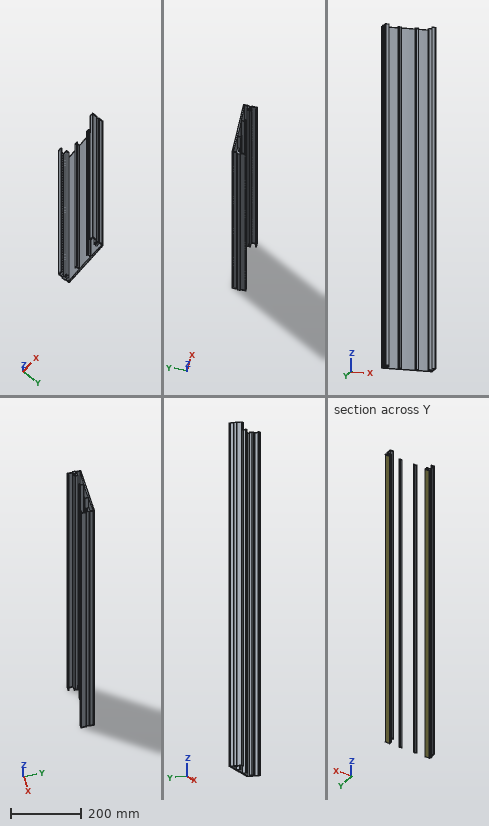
import cadquery as cq

LENGTH = 1000.0
BODY_WIDTH = 150.0
DEPTH = 40.02
TONGUE_REACH = 2.0
HALF_WIDTH = BODY_WIDTH / 2
MIDDLE_X = TONGUE_REACH / 2
OUTER_FACE_Y = DEPTH / 2

WEB_THICKNESS = 4.5
WEB_EDGE_THICKNESS = 3.5
TAPER_START = 50.0
CROWN_HALF_WIDTH = 18.0
CROWN_HEIGHT = 0.9
OUTER_CORNER_RADIUS = 2.0

WALL_THICKNESS = 2.5
LIP_THICKNESS = 3.0
LIP_LENGTH = 11.0

JOINT_DEPTH = 20.0
TONGUE_HEIGHT = 8.2
GROOVE_HEIGHT = 8.4
GROOVE_CUT = 2.0

CHANNEL_TIP = 59.7
CHANNEL_TOP = 12.7
CHANNEL_BOTTOM = 22.9
CHANNEL_FILLET = 0.4
SLOT_BASE = 69.3
SLOT_TOP = 17.2
SLOT_BOTTOM = 20.5

RIB_STEM_INNER = 24.1
RIB_STEM_OUTER = 25.6
RIB_FOOT_INNER = 19.5
RIB_FOOT_OUTER = 30.2
RIB_FOOT_TOP = 15.0
RIB_FOOT_THICKNESS = 1.8


def place(across, depth):
    """XY point of a section position."""
    return (MIDDLE_X + across, OUTER_FACE_Y - depth)


def bar(across_a, across_b, depth_a, depth_b):
    """Full-length rectangular bar between two across and two depth positions."""
    corners = [
        place(across_a, depth_a),
        place(across_b, depth_a),
        place(across_b, depth_b),
        place(across_a, depth_b),
    ]
    return cq.Workplane("XY").polyline(corners).close().extrude(LENGTH)


def web():
    inner_wall = HALF_WIDTH - WALL_THICKNESS
    return (
        cq.Workplane("XY")
        .moveTo(*place(-HALF_WIDTH, 0))
        .lineTo(*place(HALF_WIDTH, 0))
        .lineTo(*place(HALF_WIDTH, WEB_EDGE_THICKNESS))
        .lineTo(*place(inner_wall, WEB_EDGE_THICKNESS))
        .lineTo(*place(TAPER_START, WEB_THICKNESS))
        .lineTo(*place(CROWN_HALF_WIDTH, WEB_THICKNESS))
        .threePointArc(
            place(0, WEB_THICKNESS + CROWN_HEIGHT),
            place(-CROWN_HALF_WIDTH, WEB_THICKNESS),
        )
        .lineTo(*place(-TAPER_START, WEB_THICKNESS))
        .lineTo(*place(-inner_wall, WEB_EDGE_THICKNESS))
        .lineTo(*place(-HALF_WIDTH, WEB_EDGE_THICKNESS))
        .close()
        .extrude(LENGTH)
    )


def side_wall(side):
    outer = side * HALF_WIDTH
    wall = bar(outer, side * (HALF_WIDTH - WALL_THICKNESS), 0, DEPTH)
    lip = bar(outer, side * (HALF_WIDTH - LIP_LENGTH), DEPTH - LIP_THICKNESS, DEPTH)
    return wall.union(lip)


def screw_channel(side):
    block = bar(side * HALF_WIDTH, side * CHANNEL_TIP, CHANNEL_TOP, CHANNEL_BOTTOM)
    slot = bar(side * SLOT_BASE, side * CHANNEL_TIP, SLOT_TOP, SLOT_BOTTOM)
    tip_edges = "|Z and >X" if side < 0 else "|Z and <X"
    return block.cut(slot).edges(tip_edges).fillet(CHANNEL_FILLET)


def rib(side):
    foot_bottom = RIB_FOOT_TOP + RIB_FOOT_THICKNESS
    end_radius = RIB_FOOT_THICKNESS / 2
    foot_middle = RIB_FOOT_TOP + end_radius
    inner_end = side * (RIB_FOOT_INNER + end_radius)
    outer_end = side * (RIB_FOOT_OUTER - end_radius)
    foot = (
        cq.Workplane("XY")
        .moveTo(*place(inner_end, RIB_FOOT_TOP))
        .lineTo(*place(outer_end, RIB_FOOT_TOP))
        .threePointArc(place(side * RIB_FOOT_OUTER, foot_middle), place(outer_end, foot_bottom))
        .lineTo(*place(inner_end, foot_bottom))
        .threePointArc(place(side * RIB_FOOT_INNER, foot_middle), place(inner_end, RIB_FOOT_TOP))
        .close()
        .extrude(LENGTH)
    )
    stem = bar(side * RIB_STEM_INNER, side * RIB_STEM_OUTER, 0, foot_middle)
    return stem.union(foot)


def joint_bar(across_a, across_b, height):
    """Bar centred on the depth shared by the tongue and the groove."""
    return bar(across_a, across_b, JOINT_DEPTH - height / 2, JOINT_DEPTH + height / 2)


body = web()
for side in (-1, 1):
    body = body.union(side_wall(side)).union(screw_channel(side)).union(rib(side))

tongue = joint_bar(-HALF_WIDTH - TONGUE_REACH, -HALF_WIDTH, TONGUE_HEIGHT)
groove = joint_bar(HALF_WIDTH - GROOVE_CUT, HALF_WIDTH, GROOVE_HEIGHT)
body = body.union(tongue).cut(groove)

result = body.edges("|Z and >Y").fillet(OUTER_CORNER_RADIUS)